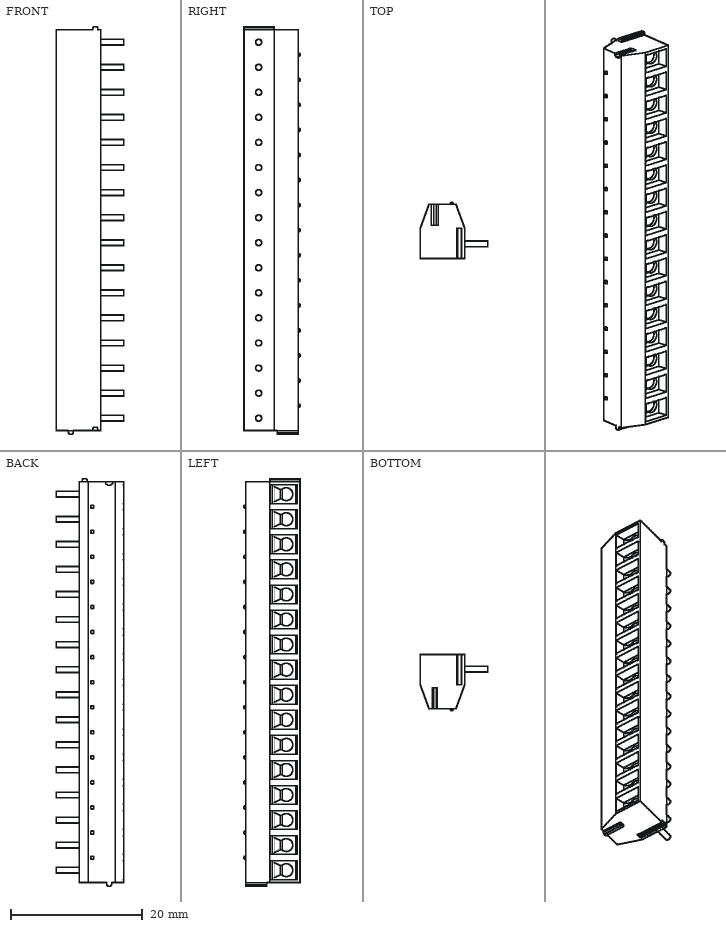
import cadquery as cq
import math

pole_count = 16
pitch = 3.81
body_height = pole_count * pitch

body_width = 6.8
body_depth = 8.3
shoulder_y = 4.6
taper_inset = 1.35

pin_diameter = 0.9
pin_length = 3.5
pin_y = 2.25
pin_embed = 1.0

window_height = 2.85
window_depth = 1.45
window_low_y = 0.4
window_high_y = 4.55
window_low_lean = 0.25
window_high_lean = 0.35

hole_diameter = 1.95
hole_depth = 0.6
hole_y = 2.1
hole_flat_height = 1.45
hole_flat_y = hole_y + math.sqrt((hole_diameter / 2) ** 2 - (hole_flat_height / 2) ** 2)

ramp_start_y = 3.9
ramp_end_y = 3.05
ramp_start_height = 2.25
ramp_depth = 0.15

rail_x = 5.96
rail_length = 4.6
rail_height = 0.45
rail_straight_height = 0.25
rail_base_width = 0.8
rail_tip_width = 0.55
rail_groove_extra_depth = 0.05

tongue_x = 2.24
tongue_length = 3.25
tongue_height = 0.55
tongue_straight_height = 0.3
tongue_base_width = 0.8
tongue_tip_width = 0.4
tongue_groove_clearance = 0.15

dome_radius = 0.25
dome_x = 4.8


def pole_z(index):
    """Height of the middle of a pole, counted from the bottom."""
    return (index + 0.5) * pitch


def make_housing():
    outline = [
        (0, 0),
        (body_width, 0),
        (body_width, shoulder_y),
        (body_width - taper_inset, body_depth),
        (taper_inset, body_depth),
        (0, shoulder_y),
    ]
    return cq.Workplane("XY").polyline(outline).close().extrude(body_height)


def make_window(z):
    outline = [
        (0, window_low_y),
        (window_depth, window_low_y + window_low_lean),
        (window_depth, window_high_y - window_high_lean),
        (0, window_high_y),
    ]
    base_z = z - window_height / 2
    return cq.Workplane("XY", origin=(0, 0, base_z)).polyline(outline).close().extrude(window_height)


def make_wire_hole(z):
    half_flat = hole_flat_height / 2
    plane = cq.Workplane("YZ", origin=(window_depth, 0, z)).moveTo(hole_flat_y, half_flat)
    outline = plane.threePointArc((hole_y - hole_diameter / 2, 0), (hole_flat_y, -half_flat)).close()
    return outline.extrude(hole_depth)


def make_ramp(z):
    """Wedge that narrows along the ramp and then drops steeply to the bottom of the wire hole."""
    side = [
        (window_depth, ramp_start_y),
        (window_depth + ramp_depth, ramp_end_y),
        (window_depth + hole_depth, hole_flat_y),
        (window_depth, hole_flat_y),
    ]
    face = [
        (ramp_start_y, -ramp_start_height / 2),
        (ramp_start_y, ramp_start_height / 2),
        (ramp_end_y, hole_flat_height / 2),
        (hole_flat_y, hole_flat_height / 2),
        (hole_flat_y, -hole_flat_height / 2),
        (ramp_end_y, -hole_flat_height / 2),
    ]
    base_z = z - ramp_start_height / 2
    wedge = cq.Workplane("XY", origin=(0, 0, base_z)).polyline(side).close().extrude(ramp_start_height)
    plan = cq.Workplane("YZ", origin=(0, 0, z)).polyline(face).close().extrude(body_width)
    return wedge.intersect(plan)


def make_pin(z):
    plane = cq.Workplane("YZ", origin=(body_width - pin_embed, pin_y, z))
    return plane.circle(pin_diameter / 2).extrude(pin_embed + pin_length)


def bevelled_bar(middle_x, base_z, base_width, tip_width, bevel_z, tip_z, start_y, end_y):
    """Bar along Y whose sides run straight from base_z to bevel_z and then lean in to tip_z."""
    half_base = base_width / 2
    half_tip = tip_width / 2
    outline = [
        (middle_x - half_base, base_z),
        (middle_x - half_base, bevel_z),
        (middle_x - half_tip, tip_z),
        (middle_x + half_tip, tip_z),
        (middle_x + half_base, bevel_z),
        (middle_x + half_base, base_z),
    ]
    return cq.Workplane("XZ", origin=(0, start_y, 0)).polyline(outline).close().extrude(start_y - end_y)


def make_rail(base_z, extra_height):
    """Bar that rises from base_z, next to the -Y side."""
    bevel_z = base_z + rail_straight_height + extra_height
    tip_z = base_z + rail_height + extra_height
    return bevelled_bar(rail_x, base_z, rail_base_width, rail_tip_width, bevel_z, tip_z, 0, rail_length)


def make_tongue(base_z, clearance):
    """Bar that hangs down from base_z, next to the +Y side; the clearance widens its straight part."""
    base_width = tongue_base_width + 2 * clearance
    bevel_z = base_z - tongue_straight_height
    tip_z = base_z - tongue_height
    start_y = body_depth - tongue_length
    return bevelled_bar(tongue_x, base_z, base_width, tongue_tip_width, bevel_z, tip_z, start_y, body_depth)


def make_dome(z):
    return cq.Workplane("XY", origin=(dome_x, body_depth, z)).sphere(dome_radius)


result = make_housing()
result = result.union(make_rail(body_height, 0))
result = result.cut(make_rail(0, rail_groove_extra_depth))
result = result.union(make_tongue(0, 0))
result = result.cut(make_tongue(body_height, tongue_groove_clearance))

for pole in range(pole_count):
    z = pole_z(pole)
    result = result.cut(make_window(z))
    result = result.cut(make_wire_hole(z))
    result = result.cut(make_ramp(z))
    result = result.union(make_pin(z))

for boundary in range(1, pole_count):
    result = result.union(make_dome(boundary * pitch))